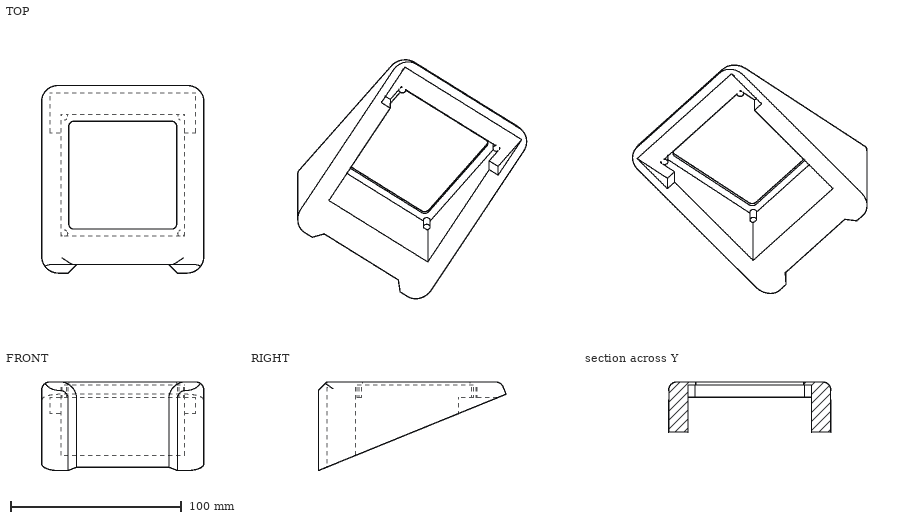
import cadquery as cq
import math

width = 95.0
length = 110.0
height = 52.0
back_height = 7.3

corner_radius = 10.0
edge_radius = corner_radius / 2

recess_depth = edge_radius
recess_width = 53.9

window_size = 63.0
window_center_y = 2.4
window_corner_radius = 3.0
lip_thickness = 2.0

wall = edge_radius
cavity_width = 72.0
cavity_length = 71.2

clearance_front_y = 27.2
clearance_top_z = -9.1

post_radius = 2.0
post_offset = 2.6

front_y = -length / 2
back_y = length / 2
recess_y = front_y + recess_depth
side_x = width / 2
base_angle = math.atan2(height - back_height, length)
back_top_y = back_y - back_height * math.tan(base_angle)


def block(x_min, x_max, y_min, y_max, z_min, z_max):
    """Axis-aligned box given by its limits."""
    size = (x_max - x_min, y_max - y_min, z_max - z_min)
    return cq.Workplane("XY").box(*size, centered=False).translate((x_min, y_min, z_min))


def wedge():
    """Wedge with rounded back corners, and rounded side and back top edges."""
    profile = [(front_y, 0), (back_top_y, 0), (back_y, -back_height), (front_y, -height)]
    body = cq.Workplane("YZ").polyline(profile).close().extrude(side_x, both=True)
    body = body.faces(">Y").edges("not |X").fillet(corner_radius)
    return body.faces(">Z").edges("not <Y").fillet(edge_radius)


def front_envelope():
    """Upright block whose rounded front corners trim the wedge."""
    envelope = block(-side_x, side_x, front_y, back_y, -height, 0)
    return envelope.edges("|Z and <Y").fillet(corner_radius)


def front_core():
    """Block set back to the recess floor, with a rounded top front edge."""
    core = block(-side_x, side_x, recess_y, back_y, -height, 0)
    return core.edges(">Z and <Y").fillet(edge_radius)


def pillar():
    """Right pillar with a rounded inner shoulder and a bevelled front."""
    post = block(recess_width / 2, side_x, front_y, recess_y + edge_radius, -height, 0)
    post = post.edges("<X and >Z").fillet(corner_radius)
    rim = post.faces("<Y").edges("not >X").edges("not <Z")
    return rim.chamfer(recess_depth)


def cavity():
    """Hollow beneath the lip, with the wider clearance at the back."""
    half_width = cavity_width / 2
    half_length = cavity_length / 2
    main = block(
        -half_width, half_width,
        window_center_y - half_length, window_center_y + half_length,
        -height, -lip_thickness,
    )
    clearance_x = side_x - wall
    clearance = block(-clearance_x, clearance_x, clearance_front_y, back_y, -height, clearance_top_z)
    return main.union(clearance)


def window():
    """Rounded square opening through the lip."""
    opening = cq.Workplane("XY").center(0, window_center_y).rect(window_size, window_size)
    return opening.extrude(-lip_thickness).edges("|Z").fillet(window_corner_radius)


def posts():
    """Four round posts hanging from the lip."""
    spacing = window_size + 2 * post_offset
    centers = cq.Workplane("XY", origin=(0, window_center_y, -lip_thickness)).rect(
        spacing, spacing, forConstruction=True
    ).vertices()
    return centers.circle(post_radius).extrude(clearance_top_z + lip_thickness)


right_pillar = pillar()
front_shape = front_core().union(right_pillar).union(right_pillar.mirror("YZ"))
result = wedge().intersect(front_envelope()).intersect(front_shape)
result = result.cut(cavity()).union(posts()).cut(window())